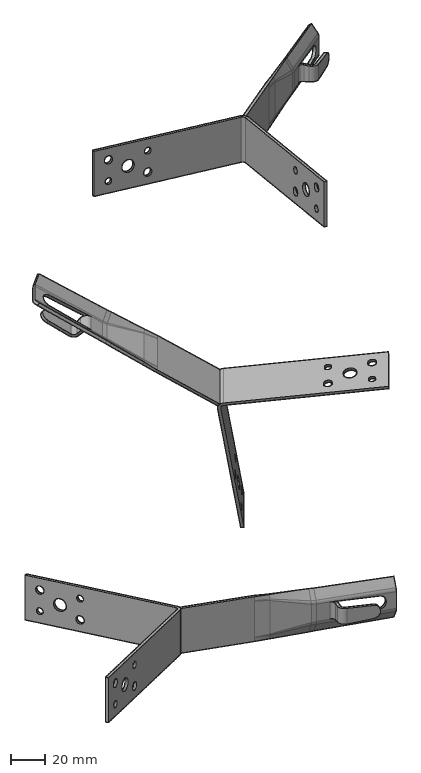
import cadquery as cq
import math

THICKNESS = 2.0
WIDTH = 29.5
TOTAL_LENGTH = 204.9
BEND_INNER = THICKNESS
BEND_OUTER = BEND_INNER + THICKNESS
HALF_THICKNESS = THICKNESS / 2
HALF_WIDTH = WIDTH / 2
COS45 = math.sqrt(0.5)

HALF_SPAN = 72.1
BEND_CENTRE_Y = -BEND_OUTER
LEG_TIP_DX = THICKNESS * COS45
OUTER_TIP_Y = BEND_CENTRE_Y + BEND_OUTER / COS45 - HALF_SPAN
FORK_DEPTH = LEG_TIP_DX - OUTER_TIP_Y

HOLE_CENTRE_FROM_TIP = 22.7
HOLE_HALF_PITCH_ALONG = 13.1
HOLE_HALF_PITCH_Z = 7.0
CENTRE_HOLE_DIAMETER = 8.2
LARGE_HOLE_DIAMETER = 5.3
SMALL_HOLE_DIAMETER = 4.3

TAIL_LENGTH = TOTAL_LENGTH - FORK_DEPTH
FLAT_LENGTH = 45.9
RAMP_START_Y = 55.3
RAMP_END_Y = 80.0
CHANNEL_START_Y = 83.0
CHANNEL_DEPTH = 4.3

CHANNEL_TIP_HALF = 13.1
TIP_TAPER = 0.78

STATIONS = [
    (FLAT_LENGTH, 0.0, 12.0, HALF_WIDTH),
    (RAMP_START_Y, 0.72, 11.3, 14.1),
    (RAMP_END_Y, 4.0, 6.5, 13.3),
    (CHANNEL_START_Y, CHANNEL_DEPTH, 6.4, CHANNEL_TIP_HALF),
    (TAIL_LENGTH, CHANNEL_DEPTH, 6.1, CHANNEL_TIP_HALF - TIP_TAPER),
]
FLAT_FOLD_HALF = 0.1

HOOK_ROOT_Y = 91.5
HOOK_REACH_X = 15.5
HOOK_BEND_INNER = 2.5
HOOK_BEND_OUTER = HOOK_BEND_INNER + THICKNESS
HOOK_END_Y = 119.5
SLOT_END_Y = 126.6
TONGUE_ROOT_HALF = 5.5
TONGUE_ELBOW_HALF = 5.1
TONGUE_TIP_RADIUS = 4.3
WEB_INNER_X = CHANNEL_DEPTH - HALF_THICKNESS
WEB_OUTER_X = WEB_INNER_X + THICKNESS


def make_fork():
    """V-shaped sheet with a rounded outer apex that touches the tail's end."""
    inner_tip = (HALF_SPAN - LEG_TIP_DX, OUTER_TIP_Y - LEG_TIP_DX)
    outer_tangent = (BEND_OUTER * COS45, BEND_CENTRE_Y + BEND_OUTER * COS45)
    inner_tangent = (BEND_INNER * COS45, BEND_CENTRE_Y + BEND_INNER * COS45)
    fork = (
        cq.Workplane("XY", origin=(0, 0, -HALF_WIDTH))
        .moveTo(HALF_SPAN, OUTER_TIP_Y)
        .lineTo(*outer_tangent)
        .threePointArc((0, 0), (-outer_tangent[0], outer_tangent[1]))
        .lineTo(-HALF_SPAN, OUTER_TIP_Y)
        .lineTo(-inner_tip[0], inner_tip[1])
        .lineTo(-inner_tangent[0], inner_tangent[1])
        .threePointArc((0, BEND_CENTRE_Y + BEND_INNER), inner_tangent)
        .lineTo(*inner_tip)
        .close()
        .extrude(WIDTH)
    )
    for side in (-1, 1):
        for cutter in leg_hole_cutters(side):
            fork = fork.cut(cutter)
    return fork


def leg_hole_cutters(side):
    """Cutters for one leg: a centre hole, with large and small holes on opposite diagonals."""
    leg_plane = cq.Plane(
        origin=(side * (HALF_SPAN - LEG_TIP_DX / 2), OUTER_TIP_Y - LEG_TIP_DX / 2, 0),
        xDir=(side * COS45, -COS45, 0),
        normal=(side * COS45, COS45, 0),
    )
    up = leg_plane.yDir.z
    holes = [(0, 0, CENTRE_HOLE_DIAMETER)]
    for along in (-1, 1):
        for height in (-1, 1):
            diameter = LARGE_HOLE_DIAMETER if along == height else SMALL_HOLE_DIAMETER
            holes.append((along * HOLE_HALF_PITCH_ALONG, height * HOLE_HALF_PITCH_Z, diameter))
    return [
        cq.Workplane(leg_plane)
        .center(along - HOLE_CENTRE_FROM_TIP, z * up)
        .circle(diameter / 2)
        .extrude(THICKNESS, both=True)
        for along, z, diameter in holes
    ]


def channel_section(y, offset, web_half, tip_half):
    """Closed wire of the formed strip at one y: web, bends and two sloping flanges."""
    fold = math.atan2(offset, tip_half - web_half)
    lean = cq.Vector(-math.sin(fold), 0, math.cos(fold))
    normal = cq.Vector(math.cos(fold), 0, math.sin(fold))
    inner_corner = cq.Vector(offset - HALF_THICKNESS, y, web_half)
    outer_corner = inner_corner + cq.Vector(THICKNESS, 0, THICKNESS * math.tan(fold / 2))
    inner_tip = cq.Vector(-HALF_THICKNESS, y, tip_half)
    outer_tip = inner_tip + normal * THICKNESS

    def bend_points(corner, radius):
        setback = radius * math.tan(fold / 2) if fold > 0 else FLAT_FOLD_HALF
        start = corner - cq.Vector(0, 0, setback)
        end = corner + lean * setback
        sagitta = radius * (1 - math.cos(fold / 2))
        chord_normal = cq.Vector(math.cos(fold / 2), 0, math.sin(fold / 2))
        middle = (start + end) * 0.5 + chord_normal * sagitta
        return start, middle, end

    def mirrored(point):
        return cq.Vector(point.x, point.y, -point.z)

    def bend_edge(start, middle, end):
        if fold > 0:
            return cq.Edge.makeThreePointArc(start, middle, end)
        return cq.Edge.makeLine(start, end)

    inner = bend_points(inner_corner, BEND_INNER)
    outer = bend_points(outer_corner, BEND_OUTER)
    inner_low = [mirrored(point) for point in inner]
    outer_low = [mirrored(point) for point in outer]
    line = cq.Edge.makeLine
    return cq.Wire.assembleEdges([
        line(inner_low[0], inner[0]),
        bend_edge(*inner),
        line(inner[2], inner_tip),
        line(inner_tip, outer_tip),
        line(outer_tip, outer[2]),
        bend_edge(*reversed(outer)),
        line(outer[0], outer_low[0]),
        bend_edge(*outer_low),
        line(outer_low[2], mirrored(outer_tip)),
        line(mirrored(outer_tip), mirrored(inner_tip)),
        line(mirrored(inner_tip), inner_low[2]),
        bend_edge(*reversed(inner_low)),
    ])


def tongue_plate(inner_x, root_y, root_half, tip_y):
    """One-thickness plate that tapers from its root to a round tip."""
    shoulder_y = tip_y - TONGUE_TIP_RADIUS
    return (
        cq.Workplane("YZ", origin=(inner_x, 0, 0))
        .moveTo(root_y, -root_half)
        .lineTo(shoulder_y, -TONGUE_TIP_RADIUS)
        .threePointArc((tip_y, 0), (shoulder_y, TONGUE_TIP_RADIUS))
        .lineTo(root_y, root_half)
        .close()
        .extrude(THICKNESS)
    )


def hook_bend(axis_x, axis_y, side, half_width):
    """Quarter bend about a Z axis; side 1 fills the -X +Y quarter, side -1 the +X -Y quarter."""
    axis_offset = side * (HOOK_BEND_INNER + HALF_THICKNESS)
    return (
        cq.Workplane("XZ", origin=(axis_x - axis_offset, axis_y, 0))
        .rect(THICKNESS, 2 * half_width)
        .revolve(90, (axis_offset, 2), (axis_offset, 0))
    )


def make_hook():
    """Tongue bent out of the web to +X and then back along +Y, narrowing towards its tip."""
    first_axis_x = WEB_OUTER_X + HOOK_BEND_INNER
    second_axis_x = HOOK_REACH_X - HOOK_BEND_OUTER
    link_y = HOOK_ROOT_Y + HOOK_BEND_INNER
    second_axis_y = link_y + HOOK_BEND_OUTER
    link = (
        cq.Workplane("XZ", origin=(0, link_y, 0))
        .moveTo(first_axis_x, -TONGUE_ROOT_HALF)
        .lineTo(second_axis_x, -TONGUE_ELBOW_HALF)
        .lineTo(second_axis_x, TONGUE_ELBOW_HALF)
        .lineTo(first_axis_x, TONGUE_ROOT_HALF)
        .close()
        .extrude(-THICKNESS)
    )
    arm = tongue_plate(HOOK_REACH_X - THICKNESS, second_axis_y, TONGUE_ELBOW_HALF, HOOK_END_Y)
    first_bend = hook_bend(first_axis_x, HOOK_ROOT_Y, 1, TONGUE_ROOT_HALF)
    second_bend = hook_bend(second_axis_x, second_axis_y, -1, TONGUE_ELBOW_HALF)
    return first_bend.union(link).union(second_bend).union(arm)


def make_tail():
    """Flat strip, ramp and channel in one sheet, with the slot and the hook bent out of it."""
    tail = cq.Workplane("XY").box(THICKNESS, FLAT_LENGTH, WIDTH, centered=(True, False, True))
    sections = [channel_section(*station) for station in STATIONS]
    tail = tail.union(cq.Workplane(cq.Solid.makeLoft(sections, True)))
    slot = tongue_plate(WEB_INNER_X, HOOK_ROOT_Y, TONGUE_ROOT_HALF, SLOT_END_Y)
    tail = tail.cut(slot)
    return tail.union(make_hook())


fork = make_fork()
tail = make_tail()
result = cq.Compound.makeCompound([fork.solids().val(), tail.solids().val()])